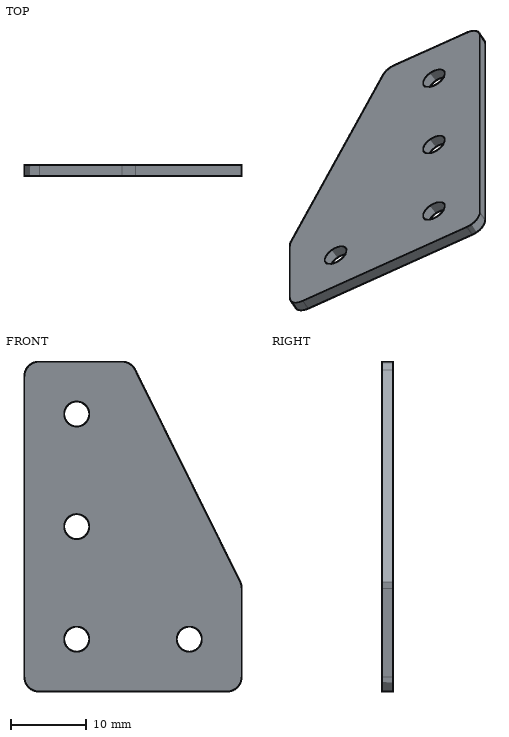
import cadquery as cq

height = 44.0
width = 29.0
thickness = 1.5
corner_radius = 2.0

top_edge_length = 14.25
right_edge_height = 14.25

hole_diameter = 3.3
hole_inset = 7.0
hole_pitch = 15.0
hole_centers = [
    (hole_inset, hole_inset),
    (hole_inset + hole_pitch, hole_inset),
    (hole_inset, hole_inset + hole_pitch),
    (hole_inset, hole_inset + 2 * hole_pitch),
]


def make_plate():
    """Five-sided plate in the XZ plane with rounded corners."""
    outline = [
        (0, 0),
        (width, 0),
        (width, right_edge_height),
        (top_edge_length, height),
        (0, height),
    ]
    plate = cq.Workplane("XZ").polyline(outline).close().extrude(thickness)
    return plate.edges("|Y").fillet(corner_radius)


def make_holes():
    """Cylinders that pass through the full plate thickness."""
    return cq.Workplane("XZ").pushPoints(hole_centers).circle(hole_diameter / 2).extrude(thickness)


result = make_plate().cut(make_holes())